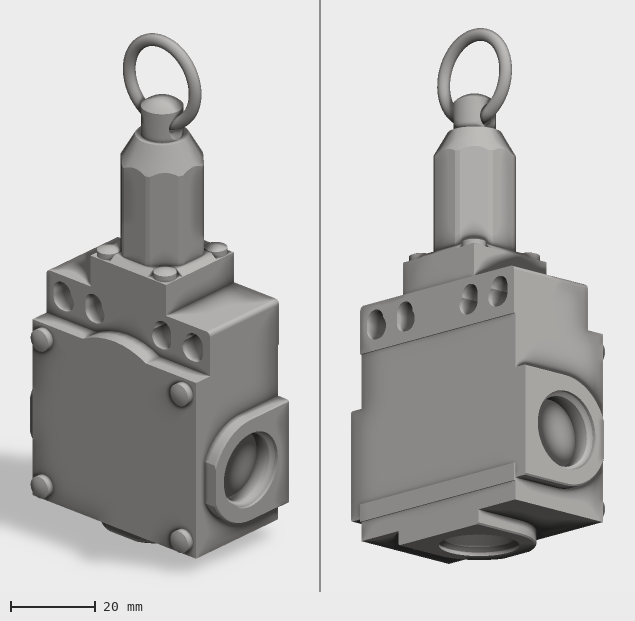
import cadquery as cq
import math


total_height = 126.0
conduit_boss_length = 3.5

housing_width = 51.9
housing_bottom = conduit_boss_length
housing_top = 60.8
housing_corner_radius = 1.1
upper_depth = 23.9
back_y = upper_depth / 2
upper_front_y = -upper_depth / 2
cover_front_y = -16.9
cover_shoulder_z = 49.5
cover_bump_half_width = 10.0
cover_bump_height = 2.5

back_pad_thickness = 0.4
upper_back_pad_bottom = 49.1
lower_back_pad_bottom = 8.2
lower_back_pad_height = 4.3

mounting_openings = [(20.9, 2.8, 0.9), (11.0, 2.6, 0.8)]
mounting_opening_top = 59.1
mounting_opening_bottom = 51.8

screw_diameter = 5.5
screw_rim_height = 1.8
screw_crown_height = 0.6
cover_screw_x = 22.2
cover_screw_heights = [7.3, 45.7]

boss_radius = 13.5
boss_flat_distance = 12.3
boss_edge_chamfer = 0.4
boss_axis_y = back_y - boss_radius
side_boss_z = 22.4
mouth_diameter = 19.0
mouth_depth = 0.9
bore_diameter = 17.0
taper_depth = 1.0
bore_depth = 3.9

tower_width = 23.9
tower_top = 70.3
tower_bevel_width = 1.9
tower_bevel_height = 1.4
screw_pocket_size = 5.9
screw_pocket_floor = tower_top - tower_bevel_height
tower_screw_offset = 9.0
tower_screw_sink = 0.3

guide_across_flats = 19.4
guide_corner_diameter = 20.5
guide_top = 100.4
guide_tip_diameter = 12.8
guide_cone_angle = 30.0

plunger_diameter = 10.1
plunger_rim_z = 107.8
plunger_crown_height = 2.1
ring_diameter = 23.9
wire_diameter = 3.0
eye_diameter = 3.7
eye_mouth_diameter = 6.3
eye_z = 103.5


def span_box(x_range, y_range, z_range):
    """Axis-aligned box between the given limits."""
    size = [high - low for low, high in (x_range, y_range, z_range)]
    corner = (x_range[0], y_range[0], z_range[0])
    return cq.Workplane("XY").box(*size, centered=False).translate(corner)


def domed_pin(diameter, rim_height, crown_height):
    """Upright cylinder from Z = 0 with a spherical crown."""
    radius = diameter / 2
    tip = rim_height + crown_height
    sphere_radius = (radius**2 + crown_height**2) / (2 * crown_height)
    half_angle = math.asin(radius / sphere_radius) / 2
    arc_middle = (
        sphere_radius * math.sin(half_angle),
        tip - sphere_radius * (1 - math.cos(half_angle)),
    )
    return (
        cq.Workplane("XZ")
        .lineTo(radius, 0)
        .lineTo(radius, rim_height)
        .threePointArc(arc_middle, (0, tip))
        .close()
        .revolve(360, (0, 0), (0, 1))
    )


def make_housing():
    """Full-width block with two thin pads on its back and rounded upper side edges."""
    half_width = housing_width / 2
    pad_y = back_y + back_pad_thickness
    lower_back_pad_top = lower_back_pad_bottom + lower_back_pad_height

    def slab(y_range, z_range):
        return span_box((-half_width, half_width), y_range, z_range)

    block = slab((upper_front_y, back_y), (housing_bottom, housing_top))
    upper_pad = slab((back_y, pad_y), (upper_back_pad_bottom, housing_top))
    lower_pad = slab((back_y, pad_y), (lower_back_pad_bottom, lower_back_pad_top))
    rounded_envelope = (
        slab((upper_front_y, pad_y), (housing_bottom, housing_top))
        .edges("|Y and >Z")
        .fillet(housing_corner_radius)
    )
    return block.union(upper_pad).union(lower_pad).intersect(rounded_envelope)


def make_cover():
    """Front cover with an arched bump in the middle of its upper edge."""
    half_width = housing_width / 2
    return (
        cq.Workplane("XZ", origin=(0, upper_front_y, 0))
        .moveTo(-half_width, housing_bottom)
        .lineTo(half_width, housing_bottom)
        .lineTo(half_width, cover_shoulder_z)
        .lineTo(cover_bump_half_width, cover_shoulder_z)
        .threePointArc(
            (0, cover_shoulder_z + cover_bump_height),
            (-cover_bump_half_width, cover_shoulder_z),
        )
        .lineTo(-half_width, cover_shoulder_z)
        .close()
        .extrude(upper_front_y - cover_front_y)
    )


def make_mounting_opening(center_x, radius, sideways_travel):
    """L-shaped slot: straight down, then a short way toward the middle."""
    side = math.copysign(1, center_x)
    top_z = mounting_opening_top - radius
    low_z = mounting_opening_bottom + radius
    inner_x = center_x - side * sideways_travel
    length = 2 * upper_depth
    plane = cq.Workplane("XZ", origin=(0, upper_depth, 0))
    upright = (
        plane.center(center_x, (top_z + low_z) / 2)
        .slot2D(top_z - low_z + 2 * radius, 2 * radius, 90)
        .extrude(length)
    )
    foot = (
        plane.center((center_x + inner_x) / 2, low_z)
        .slot2D(sideways_travel + 2 * radius, 2 * radius)
        .extrude(length)
    )
    return upright.union(foot)


def make_boss():
    """Conduit boss standing on Z = 0, its opening axis on Z and its square end toward +Y."""
    shoulder_x = math.sqrt(boss_radius**2 - boss_flat_distance**2)
    diagonal = boss_radius * math.sqrt(0.5)
    return (
        cq.Workplane("XY")
        .moveTo(-boss_radius, boss_radius)
        .lineTo(-boss_radius, 0)
        .threePointArc((-diagonal, -diagonal), (-shoulder_x, -boss_flat_distance))
        .lineTo(shoulder_x, -boss_flat_distance)
        .threePointArc((diagonal, -diagonal), (boss_radius, 0))
        .lineTo(boss_radius, boss_radius)
        .close()
        .extrude(conduit_boss_length)
        .faces(">Z")
        .edges("not(>Y or <Y)")
        .chamfer(boss_edge_chamfer)
    )


def make_boss_bore():
    """Stepped blind opening cut down from the outer face of a boss."""
    taper_start = conduit_boss_length - mouth_depth
    taper_end = taper_start - taper_depth
    floor = taper_end - bore_depth
    return (
        cq.Workplane("XZ")
        .moveTo(0, floor)
        .lineTo(bore_diameter / 2, floor)
        .lineTo(bore_diameter / 2, taper_end)
        .lineTo(mouth_diameter / 2, taper_start)
        .lineTo(mouth_diameter / 2, conduit_boss_length)
        .lineTo(0, conduit_boss_length)
        .close()
        .revolve(360, (0, 0), (0, 1))
    )


def place_on_conduit_faces(shape):
    """Copies of a Z-up shape on the left, right and bottom faces of the housing."""
    turned_seats = [
        (-90, (-housing_width / 2, boss_axis_y, side_boss_z)),
        (90, (housing_width / 2, boss_axis_y, side_boss_z)),
        (180, (0, boss_axis_y, housing_bottom)),
    ]
    return [shape.rotate((0, 0, 0), (0, 1, 0), turn).translate(seat) for turn, seat in turned_seats]


def make_tower():
    """Square tower with bevelled top edges and a screw pocket in every corner."""
    half = tower_width / 2
    tower = span_box((-half, half), (-half, half), (housing_top, tower_top))
    tower = tower.faces(">Z").chamfer(tower_bevel_height, tower_bevel_width)
    pocket_offset = half - screw_pocket_size / 2
    pockets = (
        cq.Workplane("XY", origin=(0, 0, screw_pocket_floor))
        .rect(2 * pocket_offset, 2 * pocket_offset, forConstruction=True)
        .vertices()
        .rect(screw_pocket_size, screw_pocket_size)
        .extrude(tower_bevel_height)
    )
    return tower.cut(pockets)


def make_guide():
    """Octagonal sleeve with trimmed corners and a conical upper end."""
    tip_radius = guide_tip_diameter / 2
    corner_radius = guide_corner_diameter / 2
    cone_height = (corner_radius - tip_radius) / math.tan(math.radians(guide_cone_angle))
    octagon = (
        cq.Workplane("XY", origin=(0, 0, screw_pocket_floor))
        .polygon(8, guide_across_flats, circumscribed=True)
        .extrude(guide_top - screw_pocket_floor)
    )
    turned_envelope = (
        cq.Workplane("XZ")
        .moveTo(0, screw_pocket_floor)
        .lineTo(corner_radius, screw_pocket_floor)
        .lineTo(corner_radius, guide_top - cone_height)
        .lineTo(tip_radius, guide_top)
        .lineTo(0, guide_top)
        .close()
        .revolve(360, (0, 0), (0, 1))
    )
    return octagon.intersect(turned_envelope)


def make_plunger():
    """Domed pin with a cross hole, countersunk at both ends."""
    radius = plunger_diameter / 2
    eye_radius = eye_diameter / 2
    mouth_radius = eye_mouth_diameter / 2
    countersink_start = radius - (mouth_radius - eye_radius)
    pin = domed_pin(plunger_diameter, plunger_rim_z - guide_top, plunger_crown_height)
    eye = (
        cq.Workplane("XY")
        .moveTo(-radius, 0)
        .lineTo(-radius, mouth_radius)
        .lineTo(-countersink_start, eye_radius)
        .lineTo(countersink_start, eye_radius)
        .lineTo(radius, mouth_radius)
        .lineTo(radius, 0)
        .close()
        .revolve(360, (0, 0), (1, 0))
        .translate((0, 0, eye_z))
    )
    return pin.translate((0, 0, guide_top)).cut(eye)


def make_ring():
    center_radius = (ring_diameter - wire_diameter) / 2
    center_z = total_height - ring_diameter / 2
    return cq.Workplane(
        cq.Solid.makeTorus(
            center_radius, wire_diameter / 2, cq.Vector(0, 0, center_z), cq.Vector(0, 1, 0)
        )
    )


body = make_housing().union(make_cover())
for center_x, radius, sideways_travel in mounting_openings:
    for side in (-1, 1):
        body = body.cut(make_mounting_opening(side * center_x, radius, sideways_travel))

for boss in place_on_conduit_faces(make_boss()):
    body = body.union(boss)
for bore in place_on_conduit_faces(make_boss_bore()):
    body = body.cut(bore)

for piece in (make_tower(), make_guide(), make_plunger(), make_ring()):
    body = body.union(piece)

screw = domed_pin(screw_diameter, screw_rim_height, screw_crown_height)
cover_screw = screw.rotate((0, 0, 0), (1, 0, 0), 90)
for side in (-1, 1):
    for screw_z in cover_screw_heights:
        body = body.union(cover_screw.translate((side * cover_screw_x, cover_front_y, screw_z)))
    for screw_y in (-tower_screw_offset, tower_screw_offset):
        seat = (side * tower_screw_offset, screw_y, screw_pocket_floor - tower_screw_sink)
        body = body.union(screw.translate(seat))

result = body